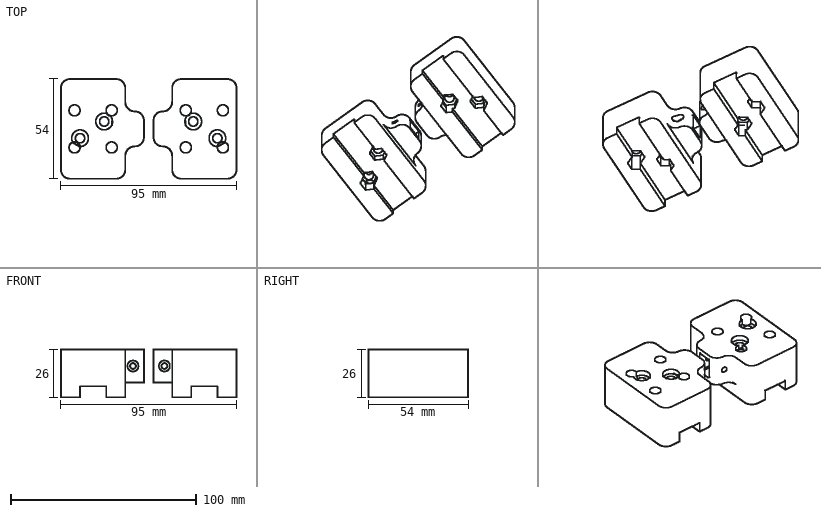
import cadquery as cq
import math

overall_length = 95.0
overall_depth = 54.0
block_height = 26.0
tab_gap = 5.0

tab_length = 10.1
tab_width = 19.0
tab_bottom = 8.0
corner_radius = tab_length / 2
block_width = (overall_length - tab_gap) / 2 - tab_length
block_center_x = -overall_length / 2 + block_width / 2
tab_root_x = block_center_x + block_width / 2
tab_tip_x = tab_root_x + tab_length

channel_width = 14.0
channel_height = 6.0

top_hole_diameter = 6.0
top_hole_pitch = 20.0
top_hole_depth = 15.2

bolt_offsets = [(6.0, 4.0), (-7.0, -5.0)]
head_recess_diameter = 9.0
head_recess_depth = 3.0
bolt_hole_diameter = 5.0
web_thickness = 0.2
nut_across_flats = 8.0
nut_pocket_height = 13.0
hexagon_half_angle = 30

pocket_width = 8.0
pocket_wall = 2.85
pocket_depth = 17.3
pocket_floor_chamfer = 0.6
pin_hole_diameter = 3.0
pin_counterbore_diameter = 6.0
pin_counterbore_depth = 3.0
pin_setback = 6.0
pin_height = (tab_bottom + block_height) / 2


def cylinder_up(x, y, bottom, top, diameter):
    """Vertical cylinder between two heights."""
    return cq.Workplane("XY", origin=(x, y, bottom)).circle(diameter / 2).extrude(top - bottom)


def cylinder_along_y(start_y, end_y, diameter):
    """Cylinder on the pin axis between two Y positions."""
    plane = cq.Plane(origin=(tab_tip_x - pin_setback, start_y, pin_height), xDir=(1, 0, 0), normal=(0, 1, 0))
    return cq.Workplane(plane).circle(diameter / 2).extrude(end_y - start_y)


def make_blank():
    """Rounded block with the tab standing off its side face, above the tab bottom."""
    block = cq.Workplane("XY").box(block_width, overall_depth, block_height, centered=(True, True, False))
    block = block.edges("|Z").fillet(corner_radius).translate((block_center_x, 0, 0))
    half_width = tab_width / 2
    middle_x = tab_root_x + corner_radius
    flare_y = half_width + corner_radius
    nose_y = half_width - corner_radius
    tab = (
        cq.Workplane("XY", origin=(0, 0, tab_bottom))
        .moveTo(tab_root_x, -flare_y)
        .radiusArc((middle_x, -half_width), corner_radius)
        .radiusArc((tab_tip_x, -nose_y), -corner_radius)
        .lineTo(tab_tip_x, nose_y)
        .radiusArc((middle_x, half_width), -corner_radius)
        .radiusArc((tab_root_x, flare_y), corner_radius)
        .close()
        .extrude(block_height - tab_bottom)
    )
    return block.union(tab)


def make_channel():
    channel = cq.Workplane("XY").box(channel_width, overall_depth, channel_height, centered=(True, True, False))
    return channel.translate((block_center_x, 0, 0))


def make_bolt_cutters(x, y):
    """Head recess, bolt hole and nut pocket on one vertical axis."""
    recess_floor = block_height - head_recess_depth
    across_corners = nut_across_flats / math.cos(math.radians(hexagon_half_angle))
    recess = cylinder_up(x, y, recess_floor, block_height, head_recess_diameter)
    bolt_hole = cylinder_up(x, y, 0, recess_floor - web_thickness, bolt_hole_diameter)
    nut_pocket = cq.Workplane("XY").polygon(6, across_corners).extrude(nut_pocket_height)
    nut_pocket = nut_pocket.rotate((0, 0, 0), (0, 0, 1), hexagon_half_angle).translate((x, y, 0))
    return [recess, bolt_hole, nut_pocket]


def make_hinge_cutters():
    """Tab pocket, pin hole and pin counterbore."""
    pocket_height = block_height - tab_bottom - 2 * pocket_wall
    pocket = cq.Workplane("XY").box(pocket_depth, pocket_width, pocket_height)
    pocket = pocket.faces("<Z").edges("|X").chamfer(pocket_floor_chamfer)
    pocket = pocket.translate((tab_tip_x - pocket_depth / 2, 0, pin_height))
    front_y = -tab_width / 2
    pin_hole = cylinder_along_y(-overall_depth / 2, overall_depth / 2, pin_hole_diameter)
    counterbore = cylinder_along_y(-overall_depth / 2, front_y + pin_counterbore_depth, pin_counterbore_diameter)
    return [pocket, pin_hole, counterbore]


def make_block():
    """The -X block of the pair."""
    block = make_blank().cut(make_channel())
    for side_x in (-1, 1):
        for side_y in (-1, 1):
            x = block_center_x + side_x * top_hole_pitch / 2
            y = side_y * top_hole_pitch / 2
            block = block.cut(cylinder_up(x, y, block_height - top_hole_depth, block_height, top_hole_diameter))
    for offset_x, offset_y in bolt_offsets:
        for cutter in make_bolt_cutters(block_center_x + offset_x, offset_y):
            block = block.cut(cutter)
    for cutter in make_hinge_cutters():
        block = block.cut(cutter)
    return block


left_block = make_block()
right_block = left_block.mirror("YZ")
result = cq.Compound.makeCompound([left_block.val(), right_block.val()])